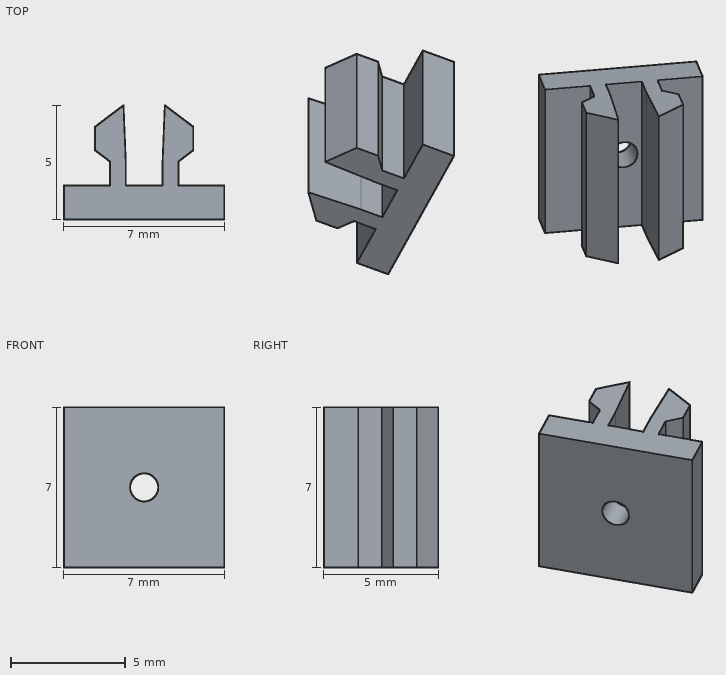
import cadquery as cq

plate_side = 7.0
plate_thickness = 1.5
hole_diameter = 1.22

arm_inner = 0.8
arm_outer = 1.5
barb_outer = 2.15
tip_offset = 0.895

barb_start = 2.535
barb_full_start = 3.03
barb_full_end = 4.05
tip_height = 5.0
gap_flare_start = 2.535


def make_plate():
    """Base plate with a round hole through its centre."""
    plate = cq.Workplane("XY").box(
        plate_side, plate_thickness, plate_side, centered=(True, False, True)
    )
    return plate.faces("<Y").workplane(centerOption="CenterOfMass").hole(hole_diameter)


def make_arm(side):
    """Barbed arm running the full height of the plate; side is -1 or +1."""
    outline = [
        (arm_inner, plate_thickness),
        (arm_outer, plate_thickness),
        (arm_outer, barb_start),
        (barb_outer, barb_full_start),
        (barb_outer, barb_full_end),
        (tip_offset, tip_height),
        (arm_inner, gap_flare_start),
    ]
    points = [(side * x, y) for x, y in outline]
    return cq.Workplane("XY").polyline(points).close().extrude(plate_side / 2, both=True)


result = make_plate()
for side in (-1, 1):
    result = result.union(make_arm(side))